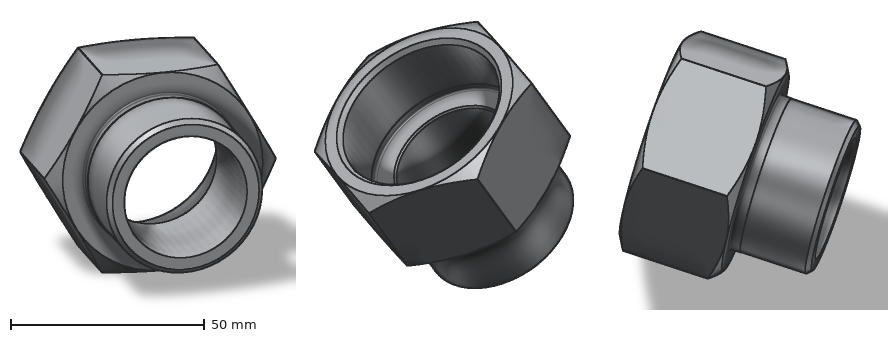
import cadquery as cq
import math

total_length = 50.0
corner_diameter = 62.25
across_flats = 54.0

hex_length = 28.0
hex_face_diameter = 53.8
hex_chamfer_angle = 30.0

spigot_diameter = 41.9
spigot_chamfer = 1.25
collar_diameter = 42.1
collar_length = 3.0
collar_fillet = 0.5

socket_diameter = 44.8
socket_depth = 20.4
socket_mouth_diameter = 47.3
relief_diameter = 45.0
relief_length = 2.0
relief_fillet = 0.5
bore_diameter = 33.0
bore_chamfer = 0.5

half_length = total_length / 2


def revolve_about_x(profile):
    """Turn a closed (x, radius) profile around the X axis."""
    return profile.close().revolve(360, (0, 0, 0), (1, 0, 0))


def hexagon_body():
    """Hexagon with flats facing +Z and -Z and both ends chamfered at the corners."""
    across_corners = across_flats / math.cos(math.radians(30))
    prism = cq.Workplane("YZ").polygon(6, across_corners).extrude(hex_length)
    corner_radius = corner_diameter / 2
    face_radius = hex_face_diameter / 2
    chamfer_length = (corner_radius - face_radius) * math.tan(math.radians(hex_chamfer_angle))
    envelope = revolve_about_x(
        cq.Workplane("XY")
        .lineTo(0, face_radius)
        .lineTo(chamfer_length, corner_radius)
        .lineTo(hex_length - chamfer_length, corner_radius)
        .lineTo(hex_length, face_radius)
        .lineTo(hex_length, 0)
    )
    return prism.intersect(envelope)


def spigot():
    """Round end with a filleted collar at its root and a chamfered tip."""
    spigot_radius = spigot_diameter / 2
    collar_radius = collar_diameter / 2
    collar_end = hex_length + collar_length
    return revolve_about_x(
        cq.Workplane("XY")
        .lineTo(0, collar_radius + collar_fillet)
        .lineTo(hex_length, collar_radius + collar_fillet)
        .radiusArc((hex_length + collar_fillet, collar_radius), -collar_fillet)
        .lineTo(collar_end, collar_radius)
        .lineTo(collar_end, spigot_radius)
        .lineTo(total_length - spigot_chamfer, spigot_radius)
        .lineTo(total_length, spigot_radius - spigot_chamfer)
        .lineTo(total_length, 0)
    )


def inner_cavity():
    """Chamfered socket with a relief at its bottom, then the through bore."""
    socket_radius = socket_diameter / 2
    mouth_radius = socket_mouth_diameter / 2
    mouth_chamfer = mouth_radius - socket_radius
    relief_radius = relief_diameter / 2
    relief_start = socket_depth - relief_length
    bore_radius = bore_diameter / 2
    return revolve_about_x(
        cq.Workplane("XY")
        .lineTo(0, mouth_radius)
        .lineTo(mouth_chamfer, socket_radius)
        .lineTo(relief_start, socket_radius)
        .lineTo(relief_start, relief_radius)
        .lineTo(socket_depth - relief_fillet, relief_radius)
        .radiusArc((socket_depth, relief_radius - relief_fillet), relief_fillet)
        .lineTo(socket_depth, bore_radius + bore_chamfer)
        .lineTo(socket_depth + bore_chamfer, bore_radius)
        .lineTo(total_length, bore_radius)
        .lineTo(total_length, 0)
    )


body = hexagon_body().union(spigot()).cut(inner_cavity())
result = body.translate((-half_length, 0, 0))